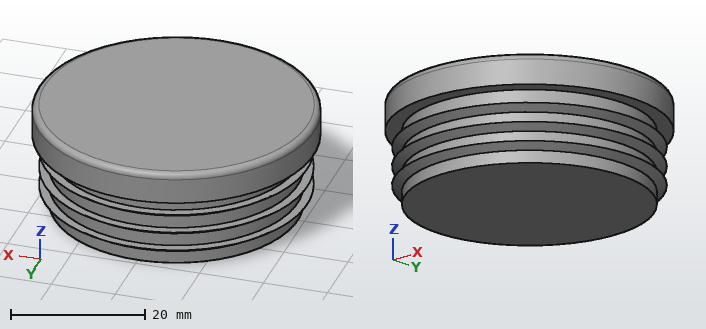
import cadquery as cq

cap_diameter = 43.0
cap_height = 5.0
cap_edge_radius = 1.0

total_height = 16.5
spigot_diameter = 38.0
spigot_height = total_height - cap_height

fin_diameter = 41.0
fin_height = 1.0
fin_count = 3
fin_pitch = 3.0
lowest_fin_base = 1.98


def make_cap():
    """Disc on top of the spigot with a rounded upper rim."""
    disc = cq.Workplane("XY").workplane(offset=spigot_height).circle(cap_diameter / 2).extrude(cap_height)
    return disc.faces(">Z").edges().fillet(cap_edge_radius)


def make_spigot():
    """Plain cylinder that enters the tube, standing on Z = 0."""
    return cq.Workplane("XY").circle(spigot_diameter / 2).extrude(spigot_height)


def make_fin(base_z):
    """Ring that flares out from the spigot to a sharp rim with a flat top."""
    top_z = base_z + fin_height
    profile = [
        (0, base_z),
        (spigot_diameter / 2, base_z),
        (fin_diameter / 2, top_z),
        (0, top_z),
    ]
    return cq.Workplane("XZ").polyline(profile).close().revolve(360, (0, 0, 0), (0, 1, 0))


result = make_spigot().union(make_cap())
for index in range(fin_count):
    result = result.union(make_fin(lowest_fin_base + index * fin_pitch))